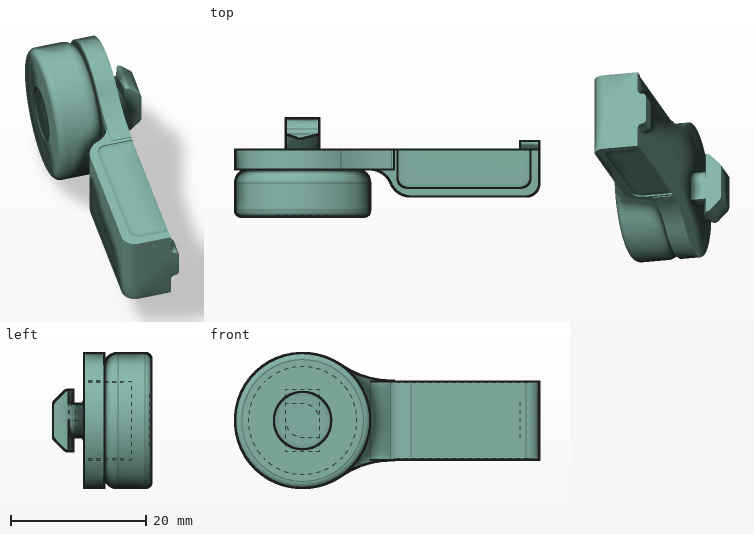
import cadquery as cq
import math


disc_radius = 10.0
disc_thickness = 3.0
neck_half_height = 5.9
neck_arc_radius = 13.0
neck_end_x = 13.5

knob_front = 10.0
knob_front_fillet = 1.0
knob_rear_fillet = 2.0
recess_radius = 4.25
recess_depth = 0.3

handle_end_x = 35.0
handle_depth = 7.0
handle_half_height = 5.8
handle_corner_radius = 2.0
bend_start_x = disc_radius
bend_end_x = 16.0
handle_wall = 1.3
panel_start_x = 14.0
panel_corner_radius = 1.5
panel_recess = 0.2

ridge_length = 2.9
ridge_height = 1.25
ridge_foot_half_width = 3.0

stem_half_width = 2.5
head_top = 4.6
head_shoulder = 2.25
head_half_length = 4.57
head_round = 1.0
tooth_tip = 1.5
tooth_tip_x = -0.4
tooth_round = 1.0


def make_disc():
    return cq.Workplane("XZ").circle(disc_radius).extrude(disc_thickness)


def make_neck():
    """Web whose concave sides run tangent from the disc rim to the handle."""
    arc_center_z = neck_half_height + neck_arc_radius
    center_distance = disc_radius + neck_arc_radius
    arc_center_x = math.sqrt(center_distance**2 - arc_center_z**2)
    tangent_x = arc_center_x * disc_radius / center_distance
    tangent_z = arc_center_z * disc_radius / center_distance
    mid_angle = (-math.pi / 2 + math.atan2(-arc_center_z, -arc_center_x)) / 2
    mid_x = arc_center_x + neck_arc_radius * math.cos(mid_angle)
    mid_z = arc_center_z + neck_arc_radius * math.sin(mid_angle)
    return (
        cq.Workplane("XZ")
        .moveTo(0, tangent_z)
        .lineTo(tangent_x, tangent_z)
        .threePointArc((mid_x, mid_z), (arc_center_x, neck_half_height))
        .lineTo(neck_end_x, neck_half_height)
        .lineTo(neck_end_x, -neck_half_height)
        .lineTo(arc_center_x, -neck_half_height)
        .threePointArc((mid_x, -mid_z), (tangent_x, -tangent_z))
        .lineTo(0, -tangent_z)
        .close()
        .extrude(disc_thickness)
    )


def make_knob():
    """Round knob with both rims rounded and a shallow recess in its front face."""
    knob = (
        cq.Workplane("XZ", origin=(0, -disc_thickness, 0))
        .circle(disc_radius)
        .extrude(knob_front - disc_thickness)
    )
    knob = knob.faces("<Y").edges().fillet(knob_front_fillet)
    knob = knob.faces(">Y").edges().fillet(knob_rear_fillet)
    recess = (
        cq.Workplane("XZ", origin=(0, -knob_front + recess_depth, 0))
        .circle(recess_radius)
        .extrude(recess_depth)
    )
    return knob.cut(recess)


def make_handle():
    """Grip block joined to the disc plane by an S-bend of two equal arcs."""
    half_run = (bend_end_x - bend_start_x) / 2
    half_drop = (handle_depth - disc_thickness) / 2
    bend_radius = (half_run**2 + half_drop**2) / (2 * half_drop)
    quarter_angle = math.asin(half_run / bend_radius) / 2
    quarter_run = bend_radius * math.sin(quarter_angle)
    quarter_drop = bend_radius * (1 - math.cos(quarter_angle))
    bend_middle = (bend_start_x + half_run, -disc_thickness - half_drop)
    block = (
        cq.Workplane("XY")
        .moveTo(bend_start_x, 0)
        .lineTo(bend_start_x, -disc_thickness)
        .threePointArc((bend_start_x + quarter_run, -disc_thickness - quarter_drop), bend_middle)
        .threePointArc((bend_end_x - quarter_run, -handle_depth + quarter_drop), (bend_end_x, -handle_depth))
        .lineTo(handle_end_x, -handle_depth)
        .lineTo(handle_end_x, 0)
        .close()
        .extrude(handle_half_height, both=True)
    )
    block = block.edges("|Z and >X and <Y").fillet(handle_corner_radius)
    for recess_bottom in (handle_half_height - panel_recess, -handle_half_height):
        block = block.cut(make_panel_recess(recess_bottom))
    return block


def make_panel_recess(bottom_z):
    """Shallow panel, open toward the mounting plane, with two rounded corners."""
    panel_length = handle_end_x - handle_wall - panel_start_x
    panel_depth = handle_depth - handle_wall
    return (
        cq.Workplane("XY", origin=(panel_start_x, 0, bottom_z))
        .rect(panel_length, -panel_depth, centered=False)
        .extrude(panel_recess)
        .edges("|Z and <Y")
        .fillet(panel_corner_radius)
    )


def make_snap_ridge():
    """Ridge across the handle end: concave feet below a rounded crest."""
    radius = ridge_height / 2
    waist = ridge_foot_half_width - radius
    crest = waist - radius
    bulge = radius * math.sqrt(0.5)
    return (
        cq.Workplane("YZ", origin=(handle_end_x - ridge_length, 0, 0))
        .moveTo(0, -ridge_foot_half_width)
        .threePointArc((radius - bulge, bulge - ridge_foot_half_width), (radius, -waist))
        .threePointArc((radius + bulge, -crest - bulge), (ridge_height, -crest))
        .lineTo(ridge_height, crest)
        .threePointArc((radius + bulge, crest + bulge), (radius, waist))
        .threePointArc((radius - bulge, ridge_foot_half_width - bulge), (0, ridge_foot_half_width))
        .close()
        .extrude(ridge_length)
    )


def make_stem():
    """Square stem with two opposite corners rounded to the full half width."""
    return (
        cq.Workplane("XZ")
        .rect(2 * stem_half_width, 2 * stem_half_width)
        .extrude(-head_top)
        .edges("|Y and ((<X and <Z) or (>X and >Z))")
        .fillet(stem_half_width)
    )


def make_head():
    """Sloped, rounded hammer head with a wedge tooth under each arm."""
    slope_drop = head_round * math.sqrt(0.5)
    flank_end_z = head_half_length - head_round + slope_drop
    top_half_length = flank_end_z - (head_top - head_shoulder - slope_drop)
    flank_foot_y = head_top - (head_half_length - top_half_length)
    body = (
        cq.Workplane("YZ")
        .moveTo(tooth_tip, -head_half_length)
        .lineTo(flank_foot_y, -head_half_length)
        .lineTo(head_top, -top_half_length)
        .lineTo(head_top, top_half_length)
        .lineTo(flank_foot_y, head_half_length)
        .lineTo(tooth_tip, head_half_length)
        .close()
        .extrude(stem_half_width, both=True)
        .edges("|X and (not <Y)")
        .fillet(head_round)
    )
    upper_envelope = (
        cq.Workplane("XY")
        .moveTo(-stem_half_width, head_shoulder)
        .lineTo(tooth_tip_x, tooth_tip)
        .lineTo(stem_half_width, head_shoulder)
        .lineTo(stem_half_width, head_top)
        .lineTo(-stem_half_width, head_top)
        .close()
        .extrude(head_half_length)
        .edges("|Z and <Y")
        .fillet(tooth_round)
    )
    lower_envelope = upper_envelope.rotate((0, 0, 0), (0, 1, 0), 180)
    return body.intersect(upper_envelope.union(lower_envelope))


result = (
    make_disc()
    .union(make_neck())
    .union(make_knob())
    .union(make_handle())
    .union(make_snap_ridge())
    .union(make_stem().union(make_head()))
)